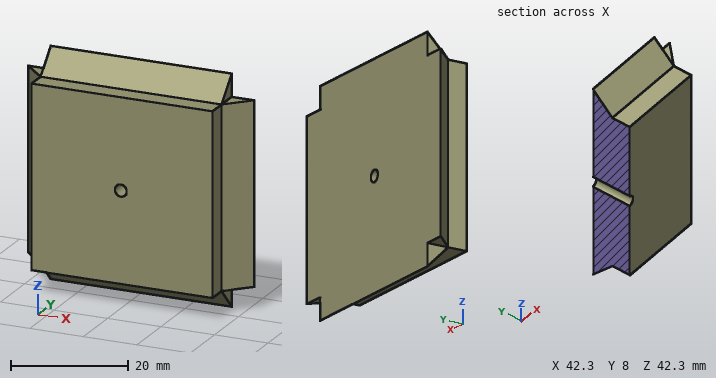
import cadquery as cq

overall_size = 42.3
thickness = 8.0
wedge_size = 4.25
hole_diameter = 2.2
hole_offset_x = -0.2

plate_size = overall_size - 2 * wedge_size
half_plate = plate_size / 2
wedge_start_y = thickness - wedge_size


def make_plate():
    """Square plate with its front face on Y = 0."""
    return cq.Workplane("XY").box(plate_size, thickness, plate_size).translate((0, thickness / 2, 0))


def make_wedge():
    """Wedge along the +X side, widening to the full reach at the back face."""
    section = [
        (half_plate, wedge_start_y),
        (half_plate + wedge_size, thickness),
        (half_plate, thickness),
    ]
    return cq.Workplane("XY").polyline(section).close().extrude(half_plate, both=True)


def make_hole():
    """Cutter for the through hole along Y."""
    return (
        cq.Workplane("XZ")
        .center(hole_offset_x, 0)
        .circle(hole_diameter / 2)
        .extrude(-thickness)
    )


result = make_plate()
for angle in (0, 90, 180, 270):
    result = result.union(make_wedge().rotate((0, 0, 0), (0, 1, 0), angle))
result = result.cut(make_hole())